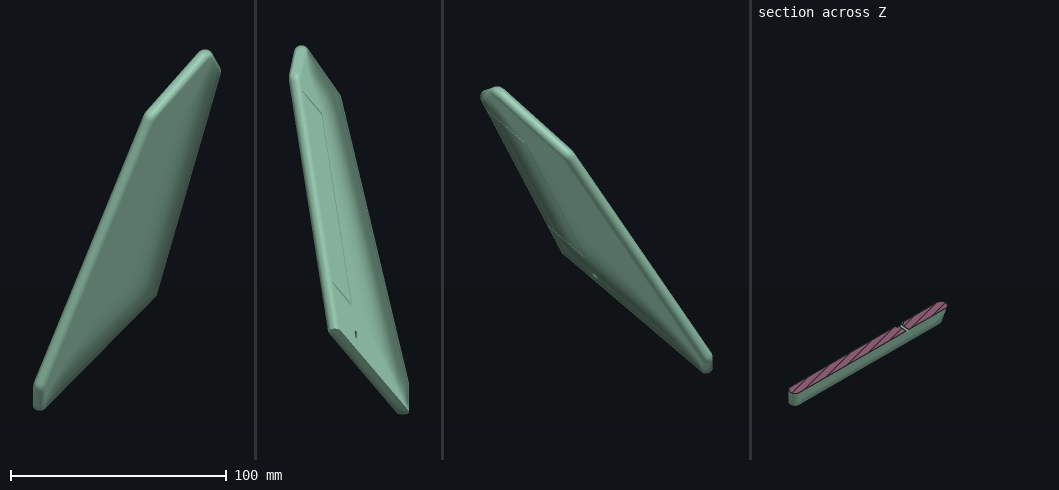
import cadquery as cq
import math

thickness = 6.0
edge_radius = 2.9
corner_radius = 6.0

root_front = (0, 0)
root_rear = (93.2, 0)
tip_rear = (144.0, 107.9)
tip_top = (135.3, 129.1)
tip_front = (88.4, 124.4)
leading_bottom = (0, 15.0)

groove_width = 1.0
groove_depth = 0.2
panel_chord = 27.3
panel_bottom = 19.4
panel_top = 101.5
panel_corner_radius = 1.6
panel_overhang = 7.2

hole_y = 70.1
hole_z = 7.3
hole_diameter = 1.4
counterbore_diameter = 4.0
counterbore_depth = 1.0

near_face = -thickness / 2
trailing_slope = (tip_rear[0] - root_rear[0]) / (tip_rear[1] - root_rear[1])


def trailing_y(z):
    """Y of the trailing edge at height z."""
    return root_rear[0] + trailing_slope * (z - root_rear[1])


def make_fin():
    """Plate with rounded corners and rounded edges all round except at the flat root."""
    outline = [root_front, root_rear, tip_rear, tip_top, tip_front, leading_bottom]
    plate = cq.Workplane("YZ").polyline(outline).close().extrude(thickness / 2, both=True)
    for y, z in [tip_rear, tip_top, tip_front, leading_bottom]:
        corner = plate.edges(cq.NearestToPointSelector((0, y, z)))
        plate = corner.fillet(corner_radius)
    rim = plate.faces("<X or >X").edges("not <Z")
    return rim.fillet(edge_radius)


def make_panel(inset):
    """Thin panel block, shrunk by inset on its top, bottom and forward sides."""
    bottom = panel_bottom + inset
    top = panel_top - inset
    chord = panel_chord - inset * math.hypot(1, trailing_slope)
    points = [
        (trailing_y(bottom) - chord, bottom),
        (trailing_y(top) - chord, top),
        (trailing_y(top) + panel_overhang, top),
        (trailing_y(bottom) + panel_overhang, bottom),
    ]
    block = cq.Workplane("YZ", origin=(near_face, 0, 0)).polyline(points).close().extrude(groove_depth)
    for y, z in points[:2]:
        block = block.edges(cq.NearestToPointSelector((near_face + groove_depth / 2, y, z)))
        block = block.fillet(panel_corner_radius - inset)
    return block


def make_hole():
    """Through hole with its counterbore on the -X face."""
    start = cq.Workplane("YZ", origin=(near_face, hole_y, hole_z))
    bore = start.circle(hole_diameter / 2).extrude(thickness)
    counterbore = start.circle(counterbore_diameter / 2).extrude(counterbore_depth)
    return bore.union(counterbore)


groove = make_panel(0).cut(make_panel(groove_width))
result = make_fin().cut(groove).cut(make_hole())